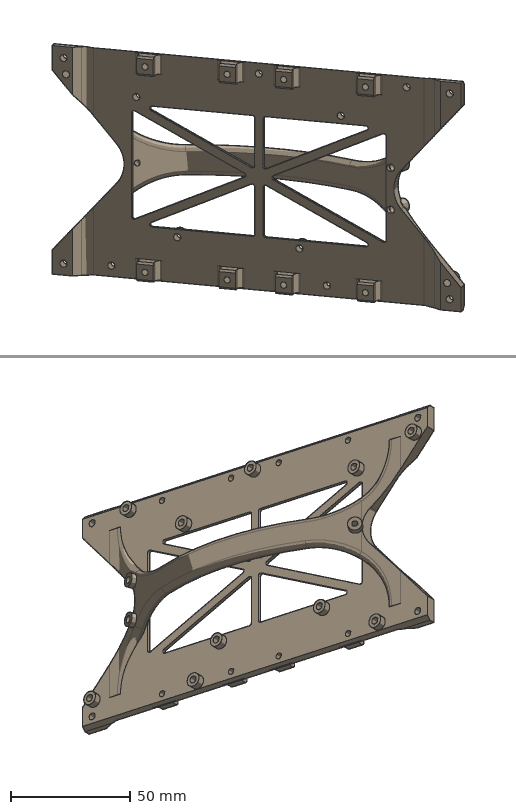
import cadquery as cq
import math

length = 180.0
height = 100.0
plate_thickness = 1.5
edge_chamfer = 1.8

pad_drop = 3.2
pad_start = 81.0
ramp_angle = 30.0
ramp_fillet = 10.0

notch_mouth = 39.5
notch_depth = 16.5
notch_angle = 48.4
notch_radius = 13.0

window_half_length = 56.0
window_half_height = 26.5
bar_width = 3.8
diagonal_angle = 25.3
window_fillet = 1.0

arch_top = 22.7
arch_radius = 114.5
arch_thickness = 4.9
arch_half_width = 6.5
arch_edge_fillet = 2.2
root_fillet = 32.4
flare_start = 36.7
flare_radius = 32.4

foot_positions = [(x, z) for x in (-48.6, -12.5, 12.5, 48.5) for z in (-45.0, 45.0)]
foot_width = 7.2
foot_height = 8.5
foot_depth = 4.9
foot_base_fillet = 2.2
foot_chamfer = 0.9
foot_sink = 0.4
foot_hole = 2.7

hole_diameter = 3.0
boss_diameter = 6.1
boss_height = 3.2
corner_holes = [(x, z) for x in (-85.0, 85.0) for z in (-45.0, 45.0)]
boss_positions = [
    (-83.9, 38.0), (83.9, -38.0),
    (-65.0, -45.0), (65.0, 45.0),
    (0.0, 45.0), (29.9, -45.0),
    (-54.0, 29.9), (36.0, 29.9),
    (-36.0, -29.9), (17.8, -29.9),
]

tilted_length = 4.0
tilted_hole_length = 9.7
left_lean = -30.0
right_lean = 22.0
left_hole_diameter = 2.5
tilted_bosses = [
    ((-58.5, 10.0, 0.0), left_lean, left_hole_diameter),
    ((61.2, 8.1, -9.2), right_lean, hole_diameter),
    ((61.2, 8.1, 9.2), right_lean, hole_diameter),
]


def prism_y(points_xz, y_low, y_high):
    """Straight-sided prism along Y over a closed XZ outline."""
    outline = cq.Workplane("XZ", origin=(0, y_low, 0)).polyline(points_xz).close()
    return outline.extrude(-(y_high - y_low))


def cylinders_y(positions, diameter, y_low, y_high):
    """Round pins along Y at the given XZ positions."""
    pins = cq.Workplane("XZ", origin=(0, y_low, 0)).pushPoints(positions)
    return pins.circle(diameter / 2).extrude(-(y_high - y_low))


def tilted_cylinder(end_centre, lean, diameter, depth):
    """Pin reaching down from an end face whose axis leans in the XY plane."""
    angle = math.radians(lean)
    down = cq.Vector(-math.sin(angle), -math.cos(angle), 0)
    return cq.Workplane(cq.Solid.makeCylinder(diameter / 2, depth, cq.Vector(*end_centre), down))


def make_plate():
    ramp_end = pad_start - pad_drop / math.tan(math.radians(ramp_angle))
    half = length / 2
    profile = [
        (-half, plate_thickness), (half, plate_thickness),
        (half, -pad_drop), (pad_start, -pad_drop), (ramp_end, 0),
        (-ramp_end, 0), (-pad_start, -pad_drop), (-half, -pad_drop),
    ]
    body = cq.Workplane("XY").polyline(profile).close().extrude(height / 2, both=True)
    near = pad_drop / 2
    ramp_feet = cq.selectors.BoxSelector((-ramp_end - near, -near, -near), (ramp_end + near, near, near))
    body = body.edges("|Z").edges(ramp_feet).fillet(ramp_fillet)
    bevel_z = height / 2 - edge_chamfer
    bevel_y = plate_thickness - edge_chamfer
    for side in (-1, 1):
        corner = [
            (plate_thickness, side * bevel_z),
            (plate_thickness, side * height / 2),
            (bevel_y, side * height / 2),
        ]
        body = body.cut(cq.Workplane("YZ").polyline(corner).close().extrude(half, both=True))
    return body


def make_windows():
    slope = math.tan(math.radians(diagonal_angle))
    rise = bar_width / 2 / math.cos(math.radians(diagonal_angle))
    half_bar = bar_width / 2
    y_range = (-plate_thickness, 2 * plate_thickness)
    side = [
        (rise / slope, 0),
        (window_half_length, slope * window_half_length - rise),
        (window_half_length, rise - slope * window_half_length),
    ]
    upper = [
        (half_bar, slope * half_bar + rise),
        (half_bar, window_half_height),
        ((window_half_height - rise) / slope, window_half_height),
    ]
    side_window = prism_y(side, *y_range).edges("|Y").fillet(window_fillet)
    upper_window = prism_y(upper, *y_range).edges("|Y").fillet(window_fillet)
    right_set = side_window.union(upper_window).union(upper_window.mirror("XY"))
    return right_set.union(right_set.mirror("YZ"))


def make_notch():
    half = length / 2
    overrun = 9.0
    slope = math.tan(math.radians(notch_angle))
    apex = half - notch_mouth / slope
    mouth = notch_mouth + overrun * slope
    vee = prism_y(
        [(apex, 0), (half + overrun, mouth), (half + overrun, -mouth)],
        -2 * pad_drop, arch_top)
    return vee.edges("|Y and <X").fillet(notch_radius)


def make_handle():
    centre_y = arch_top - arch_radius
    inner_radius = arch_radius - arch_thickness
    blend_y = plate_thickness + root_fillet
    blend_x = math.sqrt((arch_radius + root_fillet) ** 2 - (blend_y - centre_y) ** 2)
    share = arch_radius / (arch_radius + root_fillet)
    tangent_x = blend_x * share
    tangent_y = centre_y + (blend_y - centre_y) * share
    half_sweep = math.atan2(blend_x - tangent_x, blend_y - tangent_y) / 2
    middle_x = blend_x - root_fillet * math.sin(half_sweep)
    middle_y = blend_y - root_fillet * math.cos(half_sweep)
    sunk_y = plate_thickness / 2
    inner_x = math.sqrt(inner_radius ** 2 - (sunk_y - centre_y) ** 2)
    band = (
        cq.Workplane("XY")
        .moveTo(-blend_x, plate_thickness)
        .threePointArc((-middle_x, middle_y), (-tangent_x, tangent_y))
        .threePointArc((0, arch_top), (tangent_x, tangent_y))
        .threePointArc((middle_x, middle_y), (blend_x, plate_thickness))
        .lineTo(blend_x, sunk_y)
        .lineTo(inner_x, sunk_y)
        .threePointArc((0, arch_top - arch_thickness), (-inner_x, sunk_y))
        .lineTo(-blend_x, sunk_y)
        .close()
        .extrude(height / 2, both=True)
    )
    flare_end = flare_start + flare_radius
    flare_width = arch_half_width + flare_radius
    bend = flare_radius * math.sqrt(0.5)
    bend_x = flare_start + bend
    bend_z = flare_width - bend
    plan = (
        cq.Workplane("XZ")
        .moveTo(-flare_start, arch_half_width)
        .lineTo(flare_start, arch_half_width)
        .threePointArc((bend_x, bend_z), (flare_end, flare_width))
        .lineTo(blend_x, flare_width)
        .lineTo(blend_x, -flare_width)
        .lineTo(flare_end, -flare_width)
        .threePointArc((bend_x, -bend_z), (flare_start, -arch_half_width))
        .lineTo(-flare_start, -arch_half_width)
        .threePointArc((-bend_x, -bend_z), (-flare_end, -flare_width))
        .lineTo(-blend_x, -flare_width)
        .lineTo(-blend_x, flare_width)
        .lineTo(-flare_end, flare_width)
        .threePointArc((-bend_x, bend_z), (-flare_start, arch_half_width))
        .close()
        .extrude(-arch_top)
    )
    handle = band.intersect(plan)
    free_span = cq.selectors.BoxSelector((-inner_x, 0, -height), (inner_x, 2 * arch_top, height))
    return handle.edges(free_span).edges("%BSPLINE or %CIRCLE").fillet(arch_edge_fillet)


def make_foot(x, z):
    half = foot_width / 2
    base = half + foot_base_fillet
    bend = foot_base_fillet * (1 - math.sqrt(0.5))
    foot = (
        cq.Workplane("XY")
        .moveTo(-base, foot_sink)
        .lineTo(-base, 0)
        .threePointArc((-half - bend, -bend), (-half, -foot_base_fillet))
        .lineTo(-half, -foot_depth)
        .lineTo(half, -foot_depth)
        .lineTo(half, -foot_base_fillet)
        .threePointArc((half + bend, -bend), (base, 0))
        .lineTo(base, foot_sink)
        .close()
        .extrude(foot_height / 2, both=True)
    )
    foot = foot.faces("<Y").edges("|X").chamfer(foot_chamfer)
    return foot.translate((x, 0, z))


boss_top = plate_thickness + boss_height
notch = make_notch()

result = make_plate().cut(make_windows()).union(make_handle())
result = result.cut(notch).cut(notch.mirror("YZ"))

for foot_x, foot_z in foot_positions:
    result = result.union(make_foot(foot_x, foot_z))
result = result.union(cylinders_y(boss_positions, boss_diameter, plate_thickness / 2, boss_top))
for end_centre, lean, _ in tilted_bosses:
    result = result.union(tilted_cylinder(end_centre, lean, boss_diameter, tilted_length))

result = result.cut(cylinders_y(foot_positions, foot_hole, -foot_depth, plate_thickness))
result = result.cut(cylinders_y(corner_holes, hole_diameter, -pad_drop, plate_thickness))
result = result.cut(cylinders_y(boss_positions, hole_diameter, -pad_drop, boss_top))
for end_centre, lean, bore in tilted_bosses:
    result = result.cut(tilted_cylinder(end_centre, lean, bore, tilted_hole_length))